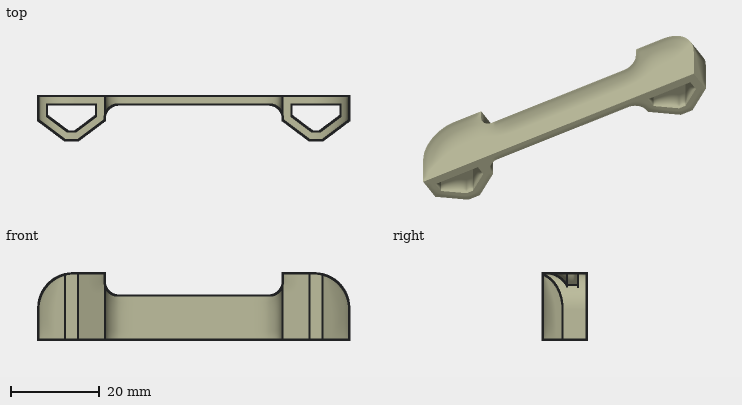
import cadquery as cq
import math

length = 70.0
depth = 10.0
height = 15.0

socket_width = 15.0
side_depth = 5.5
nose_width = 3.0
wall = 2.0
corner_radius = 8.0

bar_height = 10.0
bar_thickness = 2.0
blend_radius = 3.0

half_length = length / 2
socket_inner_x = half_length - socket_width
socket_center_x = half_length - socket_width / 2
bar_end_x = socket_inner_x - blend_radius
nose_slope = (depth - side_depth) / ((socket_width - nose_width) / 2)


def socket_plan():
    """Outline of a socket in the XY plane, about its own centre line."""
    half_width = socket_width / 2
    half_nose = nose_width / 2
    return [
        (-half_width, 0),
        (-half_width, -side_depth),
        (-half_nose, -depth),
        (half_nose, -depth),
        (half_width, -side_depth),
        (half_width, 0),
    ]


def pocket_plan():
    """Socket outline moved inwards by the wall thickness on all six sides."""
    half_width = socket_width / 2 - wall
    slanted_wall_y = wall * math.hypot(1, nose_slope)
    pocket_side_depth = side_depth + nose_slope * wall - slanted_wall_y
    pocket_front = depth - wall
    half_nose = half_width - (pocket_front - pocket_side_depth) / nose_slope
    return [
        (-half_width, -wall),
        (-half_width, -pocket_side_depth),
        (-half_nose, -pocket_front),
        (half_nose, -pocket_front),
        (half_width, -pocket_side_depth),
        (half_width, -wall),
    ]


def prism(points):
    """Full-height prism of a closed plan outline."""
    return cq.Workplane("XY").polyline(points).close().extrude(height).val()


def prisms_at_both_ends(points):
    """Full-height prisms of a plan outline at the two socket positions."""
    return (
        cq.Workplane("XY")
        .pushPoints([(-socket_center_x, 0), (socket_center_x, 0)])
        .eachpoint(lambda place: prism(points).moved(place))
    )


def full_height_bar():
    """Full-height bar whose front face curves out into both sockets."""
    blend_depth = bar_thickness + blend_radius
    return (
        cq.Workplane("XY")
        .moveTo(-socket_inner_x - wall, 0)
        .lineTo(-socket_inner_x - wall, -blend_depth)
        .lineTo(-socket_inner_x, -blend_depth)
        .radiusArc((-bar_end_x, -bar_thickness), blend_radius)
        .lineTo(bar_end_x, -bar_thickness)
        .radiusArc((socket_inner_x, -blend_depth), blend_radius)
        .lineTo(socket_inner_x + wall, -blend_depth)
        .lineTo(socket_inner_x + wall, 0)
        .close()
        .extrude(height)
    )


def side_profile_block():
    """XZ outline extruded through the full depth: rounded ends and a lowered bar."""
    round_start_x = half_length - corner_radius
    round_start_z = height - corner_radius
    blend_top = bar_height + blend_radius
    return (
        cq.Workplane("XZ")
        .moveTo(-half_length, 0)
        .lineTo(-half_length, round_start_z)
        .radiusArc((-round_start_x, height), corner_radius)
        .lineTo(-socket_inner_x, height)
        .lineTo(-socket_inner_x, blend_top)
        .radiusArc((-bar_end_x, bar_height), -blend_radius)
        .lineTo(bar_end_x, bar_height)
        .radiusArc((socket_inner_x, blend_top), -blend_radius)
        .lineTo(socket_inner_x, height)
        .lineTo(round_start_x, height)
        .radiusArc((half_length, round_start_z), corner_radius)
        .lineTo(half_length, 0)
        .close()
        .extrude(depth)
    )


body = full_height_bar().union(prisms_at_both_ends(socket_plan()))
body = body.cut(prisms_at_both_ends(pocket_plan()))
result = body.intersect(side_profile_block())